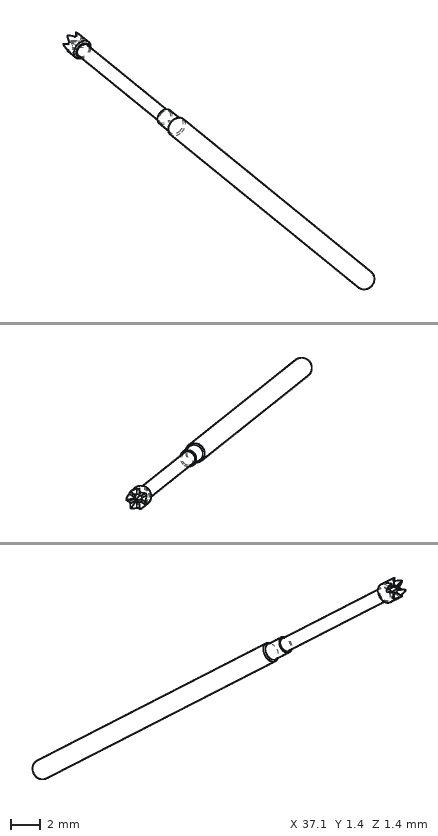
import cadquery as cq
import math

overall_length = 37.09
barrel_diameter = 1.4
collar_diameter = 1.18
plunger_diameter = 0.96
head_diameter = barrel_diameter

head_end = 1.5
collar_start = 11.65
barrel_start = 13.15

head_chamfer_length = 0.08
head_chamfer_depth = 0.15
shoulder_length = 0.1
end_round_radius = 0.5

tooth_count = 6
tooth_tip_width = 0.08
spike_lead = 0.12
spike_base_radius = 0.34
spike_tip_flat = 0.04
groove_depth = 0.5
groove_floor_width = 0.16
cutter_overrun = 0.2

barrel_radius = barrel_diameter / 2
collar_radius = collar_diameter / 2
plunger_radius = plunger_diameter / 2
head_radius = head_diameter / 2

tooth_pitch = 360 / tooth_count
half_pitch = math.radians(tooth_pitch / 2)
groove_bottom = spike_lead + groove_depth


def make_turned_body():
    """Head, plunger, collar and barrel as one revolved profile."""
    outline = [
        (spike_lead, 0),
        (spike_lead, head_radius),
        (head_end - head_chamfer_length, head_radius),
        (head_end, head_radius - head_chamfer_depth),
        (head_end, plunger_radius),
        (collar_start, plunger_radius),
        (collar_start, collar_radius),
        (barrel_start - shoulder_length, collar_radius),
        (barrel_start, barrel_radius),
        (overall_length, barrel_radius),
        (overall_length, 0),
    ]
    body = cq.Workplane("XY").polyline(outline).close().revolve(360, (0, 0, 0), (1, 0, 0))
    return body.faces(">X").edges().fillet(end_round_radius)


def make_groove_cutter():
    """Tapered prism along Z, narrow at the groove floor and open past the tooth tips."""
    half_floor = groove_floor_width / 2
    half_width_at_tips = head_radius * math.sin(half_pitch) - tooth_tip_width / 2
    flank_slope = (half_width_at_tips - half_floor) / groove_depth
    half_mouth = half_width_at_tips + flank_slope * cutter_overrun
    cutter_front = spike_lead - cutter_overrun
    outline = [
        (groove_bottom, half_floor),
        (cutter_front, half_mouth),
        (cutter_front, -half_mouth),
        (groove_bottom, -half_floor),
    ]
    half_length = head_radius + cutter_overrun
    return cq.Workplane("XY").polyline(outline).close().extrude(half_length, both=True)


def make_spike():
    """Six-sided pyramid rising from the groove floors, with a tiny flat at X = 0."""
    inward_run = spike_base_radius * math.cos(half_pitch) - spike_tip_flat / 2
    taper_angle = math.degrees(math.atan(inward_run / groove_bottom))
    base = cq.Workplane("YZ", origin=(groove_bottom, 0, 0)).polygon(tooth_count, 2 * spike_base_radius)
    return base.extrude(-groove_bottom, taper=taper_angle)


def cut_crown(body):
    """Crossing grooves leave six pointed teeth, and the spike stands in the middle."""
    cutter = make_groove_cutter()
    for index in range(tooth_count // 2):
        body = body.cut(cutter.rotate((0, 0, 0), (1, 0, 0), index * tooth_pitch))
    return body.union(make_spike())


result = cut_crown(make_turned_body())